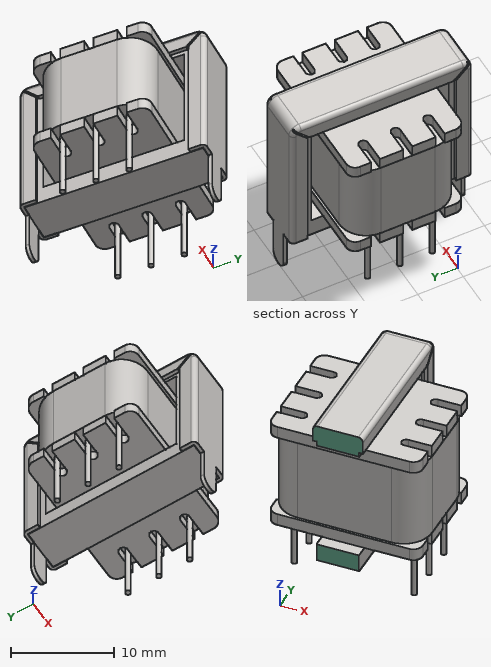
import cadquery as cq
import math


total_height = 21.3
clip_width = 5.32
clip_length = 19.95
clip_bottom = 5.1
sheet = 0.4
bend_radius = 1.06
edge_radius = 0.51
top_lip_depth = 1.92
side_lip_depth = 1.8
mitre_gap = 0.2
tab_width = 2.15

core_bottom = 5.0
core_width = clip_width - 2 * sheet
core_length = clip_length - 2 * sheet
core_top = total_height - sheet
window_length = 15.08
window_bottom = 6.99
window_top = 18.9

bobbin_length = 16.0
flange_width = 12.52
flange_thickness = 1.32
flange_corner_radius = 1.0
winding_length = 15.98
winding_width = 11.97
winding_corner_radius = 3.0
winding_bottom = window_bottom + flange_thickness
winding_top = window_top - flange_thickness

row_pitch = 3.55
row_offsets = (-row_pitch, 0, row_pitch)
slot_width = 0.98
slot_length = 2.98
pin_diameter = 0.55
pin_x = 6.35
pin_bottom = 0.8
pin_embed = 0.21


def block(size_x, size_y, bottom, top):
    """Box centred in X and Y between two heights."""
    box = cq.Workplane("XY").box(size_x, size_y, top - bottom, centered=(True, True, False))
    return box.translate((0, 0, bottom))


def make_clip():
    """Folded channel with rounded edges, side lips and two round-ended tabs."""
    clip = block(clip_width, clip_length, clip_bottom, total_height)
    clip = clip.edges("|X and >Z").fillet(bend_radius)
    clip = clip.faces("<X or >X").edges("not <Z").fillet(edge_radius)
    clip = clip.cut(block(core_width, core_length, clip_bottom, core_top))

    lip_opening_length = clip_length - 2 * side_lip_depth
    clip = clip.cut(block(clip_width, lip_opening_length, clip_bottom, total_height - top_lip_depth))
    for side in (-1, 1):
        clip = clip.cut(make_mitre_gap(side))
        clip = clip.union(make_tab(side))
    return clip


def make_mitre_gap(side):
    """Diagonal gap between the top and side lips, from the core corner inward."""
    gap_length = top_lip_depth * math.sqrt(2)
    gap = cq.Workplane("XY").box(clip_width, gap_length, mitre_gap, centered=(True, False, True))
    gap = gap.rotate((0, 0, 0), (1, 0, 0), -135 if side > 0 else -45)
    gap = gap.translate((0, side * core_length / 2, core_top))
    return gap.cut(block(core_width, clip_length, clip_bottom, total_height))


def make_tab(side):
    """Flat mounting tab hanging from an end wall of the clip."""
    radius = tab_width / 2
    tab = (
        cq.Workplane("XZ")
        .moveTo(-radius, clip_bottom + sheet)
        .lineTo(-radius, radius)
        .threePointArc((0, 0), (radius, radius))
        .lineTo(radius, clip_bottom + sheet)
        .close()
        .extrude(sheet / 2, both=True)
    )
    return tab.translate((0, side * (clip_length - sheet) / 2, 0))


def make_core():
    """Rectangular ring whose window holds the bobbin."""
    core = block(core_width, core_length, core_bottom, core_top)
    return core.cut(block(core_width, window_length, window_bottom, window_top))


def make_flange(bottom):
    """Bobbin end plate with three open slots along each X end."""
    top = bottom + flange_thickness
    flange = block(bobbin_length, flange_width, bottom, top)
    flange = flange.edges("|Z").fillet(flange_corner_radius)
    slot_centres = [(side * bobbin_length / 2, y) for side in (-1, 1) for y in row_offsets]
    slots = (
        cq.Workplane("XY")
        .workplane(offset=bottom)
        .pushPoints(slot_centres)
        .slot2D(2 * slot_length, slot_width)
        .extrude(flange_thickness)
    )
    return flange.cut(slots)


def make_winding():
    """Solid rounded coil between the two flanges."""
    winding = block(winding_length, winding_width, winding_bottom, winding_top)
    return winding.edges("|Z").fillet(winding_corner_radius)


def make_pins():
    """Two rows of round pins standing in the lower flange slots."""
    pin_centres = [(side * pin_x, y) for side in (-1, 1) for y in row_offsets]
    return (
        cq.Workplane("XY")
        .workplane(offset=pin_bottom)
        .pushPoints(pin_centres)
        .circle(pin_diameter / 2)
        .extrude(winding_bottom + pin_embed - pin_bottom)
    )


result = (
    make_core()
    .union(make_clip())
    .union(make_flange(window_bottom))
    .union(make_flange(winding_top))
    .union(make_winding())
    .union(make_pins())
)